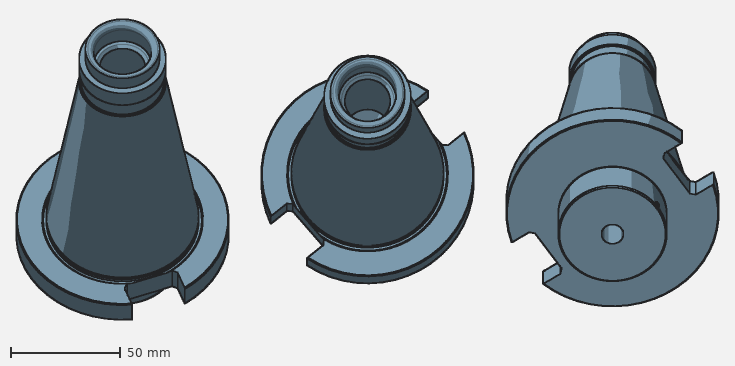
import cadquery as cq
import math

total_height = 161.8
flange_bottom = 19.7
flange_top = 31.9
gauge_level = 34.5
taper_top = 137.0
collar_bottom = 145.0
collar_top = 154.4

base_radius = 24.9
flange_radius = 48.7
gauge_radius = 35.0
neck_radius = 19.0
collar_radius = 19.9
spigot_radius = 17.0
taper_slope = 7 / 48
taper_top_radius = gauge_radius - taper_slope * (taper_top - gauge_level)

base_chamfer = 0.6
base_relief_depth = 0.3
base_relief_height = 0.6
flange_chamfer = 0.5
collar_chamfer = 0.3
taper_chamfer = 0.3
relief_radius = 36.9
relief_depth = 0.6
undercut_top = 33.8
undercut_bottom = 32.7
undercut_depth = 0.3

slot_width = 25.9
slot_floor = 35.3
slot_corner = 2.0

through_radius = 5.0
thread_radius = 10.4
thread_mouth_radius = 12.0
counterbore_radius = 13.1
counterbore_floor = 150.2
shelf_drop = 0.6
thread_chamfer = 1.3
thread_bottom = 100.3
mouth_round = 2.9
drill_half_angle = 59

pin_hole_radius = 1.3
pin_hole_level = 3.4
pin_hole_depth = 4.9


def make_body():
    """Revolve the outside profile about Z."""
    profile = [
        (0, 0),
        (base_radius - base_chamfer, 0),
        (base_radius, base_chamfer),
        (base_radius, flange_bottom - base_relief_height),
        (base_radius - base_relief_depth, flange_bottom - base_relief_height),
        (base_radius - base_relief_depth, flange_bottom),
        (flange_radius - flange_chamfer, flange_bottom),
        (flange_radius, flange_bottom + flange_chamfer),
        (flange_radius, flange_top - flange_chamfer),
        (flange_radius - flange_chamfer, flange_top),
        (relief_radius, flange_top),
        (relief_radius - relief_depth, flange_top - relief_depth),
        (gauge_radius, flange_top - relief_depth),
        (gauge_radius, undercut_bottom),
        (gauge_radius - undercut_depth, undercut_bottom),
        (gauge_radius - undercut_depth, undercut_top),
        (gauge_radius, undercut_top),
        (gauge_radius, gauge_level),
        (taper_top_radius, taper_top - taper_chamfer),
        (taper_top_radius - taper_chamfer, taper_top),
        (neck_radius, taper_top),
        (neck_radius, collar_bottom),
        (collar_radius - collar_chamfer, collar_bottom),
        (collar_radius, collar_bottom + collar_chamfer),
        (collar_radius, collar_top),
        (spigot_radius, collar_top),
        (spigot_radius, total_height),
        (0, total_height),
    ]
    return cq.Workplane("XZ").polyline(profile).close().revolve(360, (0, 0), (0, 1))


def make_bore():
    """Revolve the through hole, drill cone, thread hole, counterbore and rounded mouth."""
    thread_mouth_level = counterbore_floor - shelf_drop
    cone_height = (thread_radius - through_radius) / math.tan(math.radians(drill_half_angle))
    mouth_radius = counterbore_radius + mouth_round
    arc_mid = (
        mouth_radius - mouth_round * math.cos(math.pi / 4),
        total_height - mouth_round * (1 - math.sin(math.pi / 4)),
    )
    return (
        cq.Workplane("XZ")
        .lineTo(through_radius, 0)
        .lineTo(through_radius, thread_bottom - cone_height)
        .lineTo(thread_radius, thread_bottom)
        .lineTo(thread_radius, thread_mouth_level - thread_chamfer)
        .lineTo(thread_mouth_radius, thread_mouth_level)
        .lineTo(counterbore_radius, counterbore_floor)
        .lineTo(counterbore_radius, total_height - mouth_round)
        .threePointArc(arc_mid, (mouth_radius, total_height))
        .lineTo(0, total_height)
        .close()
        .revolve(360, (0, 0), (0, 1))
    )


def make_slot(side):
    """Drive slot with chamfered inner corners; side is +1 or -1 along X."""
    half_width = slot_width / 2
    outline = [
        (side * flange_radius, -half_width),
        (side * (slot_floor + slot_corner), -half_width),
        (side * slot_floor, -half_width + slot_corner),
        (side * slot_floor, half_width - slot_corner),
        (side * (slot_floor + slot_corner), half_width),
        (side * flange_radius, half_width),
    ]
    return (
        cq.Workplane("XY", origin=(0, 0, flange_bottom))
        .polyline(outline)
        .close()
        .extrude(flange_top - flange_bottom)
    )


def make_pin_hole():
    """Radial blind hole drilled inward from the -X side."""
    return (
        cq.Workplane("YZ", origin=(-base_radius, 0, pin_hole_level))
        .circle(pin_hole_radius)
        .extrude(pin_hole_depth)
    )


result = make_body().cut(make_bore()).cut(make_pin_hole())
for side in (-1, 1):
    result = result.cut(make_slot(side))